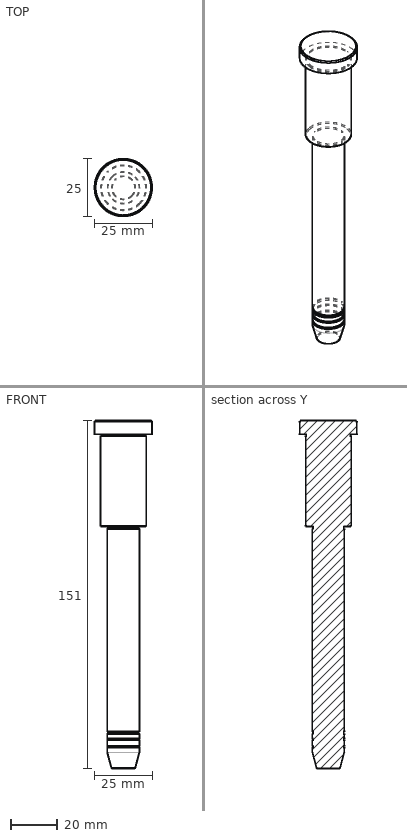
import cadquery as cq
import math

total_length = 151.0
head_diameter = 25.0
head_height = 6.0
head_chamfer = 0.6
sleeve_diameter = 20.0
sleeve_bottom = 105.0
sleeve_chamfer = 0.5
rod_diameter = 14.0

groove_depth = 0.3

head_relief_width = 0.9
rod_relief_width = 1.0

ring_grooves = [(9.0, 0.9), (12.2, 0.9), (15.0, 1.4)]

taper_height = 7.1
taper_angle = 15.0
tip_chamfer = 0.3


def cylinder(diameter, bottom, top):
    """Solid cylinder about Z between two heights."""
    return cq.Workplane("XY").workplane(offset=bottom).circle(diameter / 2).extrude(top - bottom)


def groove(diameter, bottom, top, upper_flank=groove_depth):
    """Ring that cuts a groove with a 45 degree lower flank; upper_flank is the height of the upper one."""
    surface = diameter / 2
    floor = surface - groove_depth
    outside = surface + groove_depth
    return (
        cq.Workplane("XZ")
        .polyline([
            (outside, bottom - groove_depth),
            (floor, bottom + groove_depth),
            (floor, top - upper_flank),
            (outside, top + upper_flank),
        ])
        .close()
        .revolve(360, (0, 0), (0, 1))
    )


def shoulder_relief(diameter, shoulder, width):
    """Groove that ends squarely against the shoulder above it."""
    return groove(diameter, shoulder - width, shoulder, upper_flank=0)


head_bottom = total_length - head_height

head = cylinder(head_diameter, head_bottom, total_length).faces(">Z").edges().chamfer(head_chamfer)
sleeve = cylinder(sleeve_diameter, sleeve_bottom, head_bottom)
sleeve = sleeve.faces("<Z").edges().chamfer(sleeve_chamfer)
sleeve = sleeve.cut(shoulder_relief(sleeve_diameter, head_bottom, head_relief_width))

rod = cylinder(rod_diameter, taper_height, sleeve_bottom)
rod = rod.cut(shoulder_relief(rod_diameter, sleeve_bottom, rod_relief_width))
for groove_bottom, groove_width in ring_grooves:
    rod = rod.cut(groove(rod_diameter, groove_bottom, groove_bottom + groove_width))

tip_radius = rod_diameter / 2 - taper_height * math.tan(math.radians(taper_angle))
tip = (
    cq.Workplane("XZ")
    .polyline([(0, 0), (tip_radius, 0), (rod_diameter / 2, taper_height), (0, taper_height)])
    .close()
    .revolve(360, (0, 0), (0, 1))
    .faces("<Z")
    .edges()
    .chamfer(tip_chamfer)
)

result = head.union(sleeve).union(rod).union(tip)